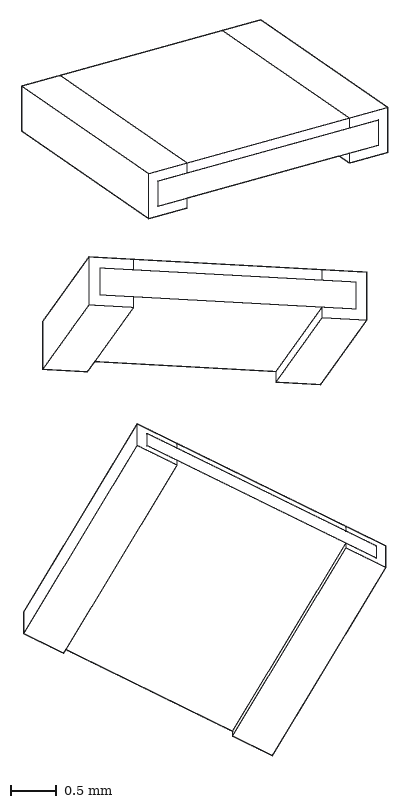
import cadquery as cq

width = 2.6
length = 3.1
height = 0.55

terminal_length = 0.5
terminal_wall = 0.12

substrate_length = length - 2 * terminal_wall
substrate_height = height - 2 * terminal_wall

coating_length = length - 2 * terminal_length
substrate_top = substrate_height / 2


def make_substrate():
    """Flat ceramic plate, centred on the origin."""
    return cq.Workplane("XY").box(width, substrate_length, substrate_height)


def make_coating():
    """Protective layer on the substrate, flush with the terminal tops."""
    return (
        cq.Workplane("XY")
        .workplane(offset=substrate_top)
        .rect(width, coating_length)
        .extrude(terminal_wall)
    )


def make_terminal(end):
    """C-shaped cap on one end of the substrate; end is -1 or +1 along Y."""
    centre_y = end * (length - terminal_length) / 2
    block = cq.Workplane("XY").box(width, terminal_length, height).translate((0, centre_y, 0))
    return block.cut(make_substrate())


substrate = make_substrate()
coating = make_coating()
terminals = [make_terminal(end) for end in (-1, 1)]

result = cq.Compound.makeCompound(
    [substrate.val(), coating.val(), *[terminal.val() for terminal in terminals]]
)